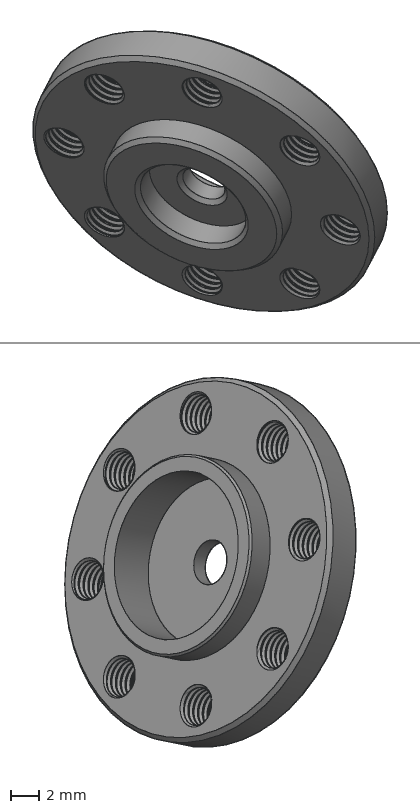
import cadquery as cq
flange_diameter = 26.0
flange_thickness = 3.0
boss_height = 2.0
front_boss_diameter = 13.6
rear_boss_diameter = 14.4
edge_chamfer = 0.3
rear_boss_chamfer = 0.15

front_recess_diameter = 8.0
front_recess_depth = 2.0
rear_recess_diameter = 12.0
bore_diameter = 3.2
web_thickness = 1.5

hole_count = 8
hole_circle_radius = 10.5
thread_major_diameter = 3.05
thread_minor_diameter = 2.68
thread_pitch = 0.5
groove_mouth_width = 0.88 * thread_pitch
groove_root_width = 0.2 * thread_pitch
groove_overrun = 1.5 * thread_pitch
groove_overlap = 0.03

front_end = -boss_height
rear_end = flange_thickness + boss_height
web_front = front_end + front_recess_depth
web_rear = web_front + web_thickness


def cylinder(diameter, start, end):
    """Cylinder on the Y axis from start to end."""
    plane = cq.Workplane("XZ", origin=(0, start, 0))
    return plane.circle(diameter / 2).extrude(start - end)


def chamfer_cutter(hole_diameter, size, face_y, inward):
    """Cone that bevels a hole's rim at face_y; inward is +1 or -1, the way along Y into the material."""
    rim_radius = hole_diameter / 2 + size
    cone = cq.Solid.makeCone(rim_radius, 0, rim_radius, cq.Vector(0, face_y, 0), cq.Vector(0, inward, 0))
    return cq.Workplane(obj=cone)


def thread_cutter():
    """Drilled hole with a right-handed helical groove, running past both flange faces."""
    start = -2 * thread_pitch
    end = flange_thickness + 2 * thread_pitch
    mouth_radius = thread_minor_diameter / 2 - groove_overlap
    root_radius = thread_major_diameter / 2
    profile = cq.Workplane("XZ").polyline([
        (mouth_radius, -groove_mouth_width / 2),
        (root_radius, -groove_root_width / 2),
        (root_radius, groove_root_width / 2),
        (mouth_radius, groove_mouth_width / 2),
    ]).close()
    groove_length = flange_thickness + 2 * groove_overrun
    helix = cq.Workplane(obj=cq.Wire.makeHelix(thread_pitch, groove_length, mouth_radius))
    groove = profile.sweep(helix, isFrenet=True)
    groove = groove.rotate((0, 0, 0), (1, 0, 0), -90).translate((0, -groove_overrun, 0))
    return groove.union(cylinder(thread_minor_diameter, start, end))


flange = cylinder(flange_diameter, 0, flange_thickness).edges().chamfer(edge_chamfer)
front_boss = cylinder(front_boss_diameter, front_end, 0).edges("<Y").chamfer(edge_chamfer)
rear_boss = cylinder(rear_boss_diameter, flange_thickness, rear_end).edges(">Y").chamfer(rear_boss_chamfer)
hub = flange.union(front_boss).union(rear_boss)

hub = hub.cut(cylinder(front_recess_diameter, front_end, web_front))
hub = hub.cut(cylinder(rear_recess_diameter, web_rear, rear_end))
hub = hub.cut(cylinder(bore_diameter, web_front, web_rear))
hub = hub.faces("<Y").edges("%CIRCLE").edges(cq.selectors.RadiusNthSelector(0)).chamfer(edge_chamfer)
hub = hub.cut(chamfer_cutter(bore_diameter, edge_chamfer, web_front, 1))

countersink = (thread_major_diameter - thread_minor_diameter) / 2
hole_tools = [
    chamfer_cutter(thread_minor_diameter, countersink, 0, 1),
    chamfer_cutter(thread_minor_diameter, countersink, flange_thickness, -1),
    thread_cutter(),
]
for index in range(hole_count):
    angle = index * 360 / hole_count
    for tool in hole_tools:
        placed = tool.translate((hole_circle_radius, 0, 0)).rotate((0, 0, 0), (0, 1, 0), angle)
        hub = hub.cut(placed)

result = hub